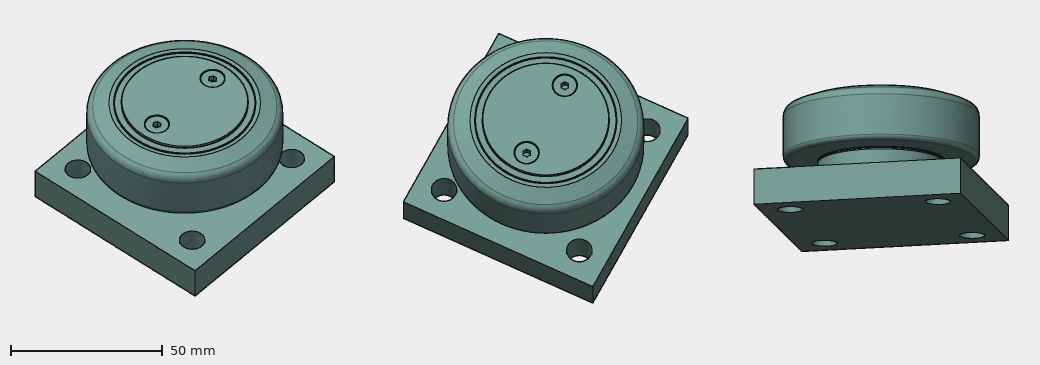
import cadquery as cq
import math

plate_side = 70.0
plate_thickness = 12.0
mount_hole_diameter = 8.4
mount_hole_spacing = 50.0

part_height = 41.5
hub_diameter = 42.0
hub_chamfer_width = 0.245
hub_chamfer_height = 0.5
hub_top = 20.5

roller_bottom = 20.85
roller_top = 40.75
crown_edge_radius = 32.35
crown_bulge = 0.1
bottom_fillet = 1.5
shoulder_fillet = 3.0
top_face_radius = 25.0
cone_angle = 20.0

groove_outer_diameter = 47.0
groove_inner_diameter = 46.35
groove_depth = 0.3
seal_diameter = 42.1

screw_spacing = 28.0
recess_rim_diameter = 8.3
recess_floor_diameter = 7.8
recess_depth = 0.245
socket_across_corners = 2.9
socket_depth = 2.1


def cylinder(diameter, bottom, top):
    return cq.Workplane("XY").workplane(offset=bottom).circle(diameter / 2).extrude(top - bottom)


def make_plate():
    plate = cq.Workplane("XY").box(plate_side, plate_side, plate_thickness, centered=(True, True, False))
    return (
        plate.faces(">Z").workplane()
        .rect(mount_hole_spacing, mount_hole_spacing, forConstruction=True)
        .vertices().hole(mount_hole_diameter)
    )


def end_chamfered_cylinder(bottom, top):
    """Cylinder of hub diameter with a steep chamfer at both ends."""
    radius = hub_diameter / 2
    end_radius = radius - hub_chamfer_width
    return (
        cq.Workplane("XZ")
        .moveTo(0, bottom)
        .lineTo(end_radius, bottom)
        .lineTo(radius, bottom + hub_chamfer_height)
        .lineTo(radius, top - hub_chamfer_height)
        .lineTo(end_radius, top)
        .lineTo(0, top)
        .close()
        .revolve(360, (0, 0, 0), (0, 1, 0))
    )


def make_roller():
    """Solid of revolution: crowned rim under a conical top, with both outer edges rounded."""
    cone_drop = (crown_edge_radius - top_face_radius) * math.tan(math.radians(cone_angle))
    shoulder_height = roller_top - cone_drop
    crown_middle = (crown_edge_radius + crown_bulge, (roller_bottom + shoulder_height) / 2)
    roller = (
        cq.Workplane("XZ")
        .moveTo(0, roller_bottom)
        .lineTo(crown_edge_radius, roller_bottom)
        .threePointArc(crown_middle, (crown_edge_radius, shoulder_height))
        .lineTo(top_face_radius, roller_top)
        .lineTo(0, roller_top)
        .close()
        .revolve(360, (0, 0, 0), (0, 1, 0))
    )
    roller = roller.faces("<Z").edges().fillet(bottom_fillet)
    return roller.faces("%CONE").edges("<Z").fillet(shoulder_fillet)


def make_ring_groove():
    outer = cylinder(groove_outer_diameter, roller_top - groove_depth, roller_top)
    return outer.cut(cylinder(groove_inner_diameter, roller_top - groove_depth, roller_top))


def cut_screw_seats(body):
    """Tapered recess with a blind hexagonal socket at each screw position."""
    for y in (-screw_spacing / 2, screw_spacing / 2):
        recess = (
            cq.Workplane("XY").workplane(offset=part_height).circle(recess_rim_diameter / 2)
            .workplane(offset=-recess_depth).circle(recess_floor_diameter / 2).loft()
        )
        socket = (
            cq.Workplane("XY").workplane(offset=part_height - recess_depth - socket_depth)
            .polygon(6, socket_across_corners).extrude(socket_depth)
        )
        body = body.cut(recess.union(socket).translate((0, y, 0)))
    return body


hub = end_chamfered_cylinder(plate_thickness, hub_top)
seal = cylinder(seal_diameter, hub_top, roller_bottom)
end_disc = end_chamfered_cylinder(roller_bottom, part_height)
roller = make_roller().cut(make_ring_groove())
body = make_plate().union(hub).union(seal).union(roller).union(end_disc)
result = cut_screw_seats(body)